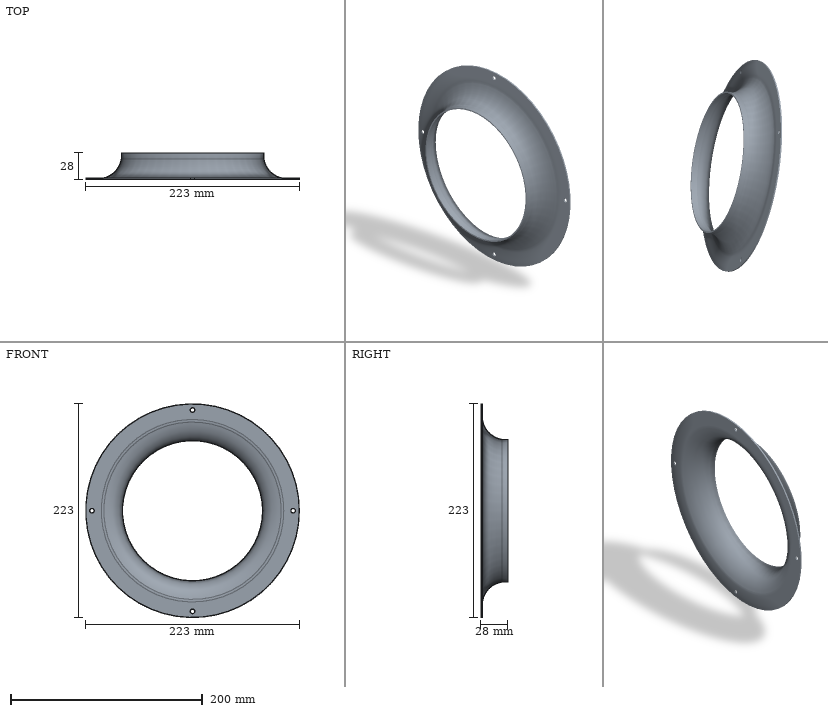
import cadquery as cq
import math


flange_radius = 111.5
depth = 28.0
sheet = 1.5

bore_radius = 73.0
collar_length = 6.5
collar_start = depth - collar_length

flare_radius = 25.5
bend_radius = 12.0
bend_edge_radius = 95.2

hole_count = 4
hole_diameter = 4.5
hole_circle_radius = 105.0


def flare_center():
    """Center of the flare arc: it meets the collar and is tangent to the bend arc."""
    to_bend_x = bend_edge_radius - bore_radius
    to_bend_y = bend_radius - collar_start
    distance = math.hypot(to_bend_x, to_bend_y)
    radius_gap = flare_radius - bend_radius
    along = (flare_radius**2 - radius_gap**2 + distance**2) / (2 * distance)
    across = math.sqrt(flare_radius**2 - along**2)
    x = bore_radius + (along * to_bend_x - across * to_bend_y) / distance
    y = collar_start + (along * to_bend_y + across * to_bend_x) / distance
    return x, y


def point_on_arc(center, radius, angle):
    """Point on the front-left quarter of an arc; angle 0 faces the axis, pi/2 the front."""
    return center[0] - radius * math.cos(angle), center[1] - radius * math.sin(angle)


def make_ring():
    """Revolve the sheet section; X is the radius and Y the ring axis."""
    flare = flare_center()
    bend = (bend_edge_radius, bend_radius)
    blend_angle = math.atan2(flare[1] - bend[1], flare[0] - bend[0])
    bend_middle_angle = (blend_angle + math.pi / 2) / 2

    rear_flare_radius = flare_radius - sheet
    rear_bend_radius = bend_radius - sheet
    collar_radius = bore_radius + sheet
    front_start_angle = math.asin((flare[1] - collar_start) / flare_radius)
    rear_start_angle = math.acos((flare[0] - collar_radius) / rear_flare_radius)
    rear_collar_start = point_on_arc(flare, rear_flare_radius, rear_start_angle)

    profile = (
        cq.Workplane("XY")
        .moveTo(flange_radius, 0)
        .lineTo(bend_edge_radius, 0)
        .threePointArc(
            point_on_arc(bend, bend_radius, bend_middle_angle),
            point_on_arc(bend, bend_radius, blend_angle),
        )
        .threePointArc(
            point_on_arc(flare, flare_radius, (blend_angle + front_start_angle) / 2),
            (bore_radius, collar_start),
        )
        .lineTo(bore_radius, depth)
        .lineTo(collar_radius, depth)
        .lineTo(*rear_collar_start)
        .threePointArc(
            point_on_arc(flare, rear_flare_radius, (blend_angle + rear_start_angle) / 2),
            point_on_arc(flare, rear_flare_radius, blend_angle),
        )
        .threePointArc(
            point_on_arc(bend, rear_bend_radius, bend_middle_angle),
            (bend_edge_radius, sheet),
        )
        .lineTo(flange_radius, sheet)
        .close()
    )
    return profile.revolve(360, (0, 0, 0), (0, 1, 0))


def fixing_holes():
    """Holes through the flange, one on each of the X and Z directions."""
    return (
        cq.Workplane("XZ")
        .polarArray(hole_circle_radius, 0, 360, hole_count)
        .circle(hole_diameter / 2)
        .extrude(-sheet)
    )


result = make_ring().cut(fixing_holes())